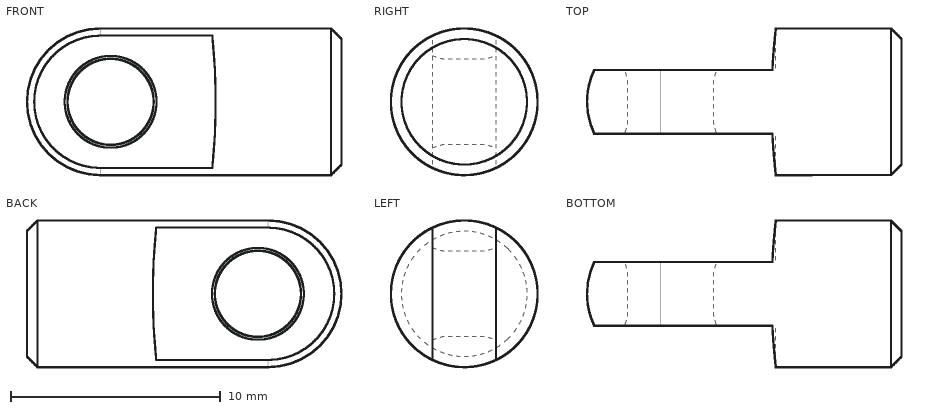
import cadquery as cq
import math

length = 15.0
rod_diameter = 7.0
rod_radius = rod_diameter / 2
end_chamfer = 0.51

tongue_thickness = 3.05
half_tongue = tongue_thickness / 2
shoulder_x = 9.0
shoulder_radius = 30.0

hole_x = 3.99
hole_radius = 4.1 / 2
hole_mouth_radius = 4.38 / 2
hole_taper_depth = 0.5


def make_rod():
    """Round rod with a hemispherical nose and a chamfered far end."""
    nose_mid = rod_radius * math.sqrt(0.5)
    profile = (
        cq.Workplane("XY")
        .moveTo(0, 0)
        .threePointArc((rod_radius - nose_mid, nose_mid), (rod_radius, rod_radius))
        .lineTo(length - end_chamfer, rod_radius)
        .lineTo(length, rod_radius - end_chamfer)
        .lineTo(length, 0)
        .close()
    )
    return profile.revolve(360, (0, 0, 0), (1, 0, 0))


def make_side_cut():
    """Block that leaves the +Y tongue face and its slightly curved shoulder."""
    cut_half_height = rod_diameter
    cut_start_x = -rod_radius
    arc_sag = shoulder_radius - math.sqrt(shoulder_radius**2 - cut_half_height**2)
    arc_end_x = shoulder_x - arc_sag
    return (
        cq.Workplane("XZ", origin=(0, half_tongue, 0))
        .moveTo(cut_start_x, -cut_half_height)
        .lineTo(arc_end_x, -cut_half_height)
        .threePointArc((shoulder_x, 0), (arc_end_x, cut_half_height))
        .lineTo(cut_start_x, cut_half_height)
        .close()
        .extrude(-rod_diameter)
    )


def make_cross_hole():
    """Hole across the tongue, widening gently toward the mouth on each side."""
    straight_half = half_tongue - hole_taper_depth
    return (
        cq.Workplane("XY")
        .polyline([
            (hole_x, -half_tongue),
            (hole_x + hole_mouth_radius, -half_tongue),
            (hole_x + hole_radius, -straight_half),
            (hole_x + hole_radius, straight_half),
            (hole_x + hole_mouth_radius, half_tongue),
            (hole_x, half_tongue),
        ])
        .close()
        .revolve(360, (hole_x, 0, 0), (hole_x, 1, 0))
    )


side_cut = make_side_cut()
result = make_rod().cut(side_cut).cut(side_cut.mirror("XZ")).cut(make_cross_hole())